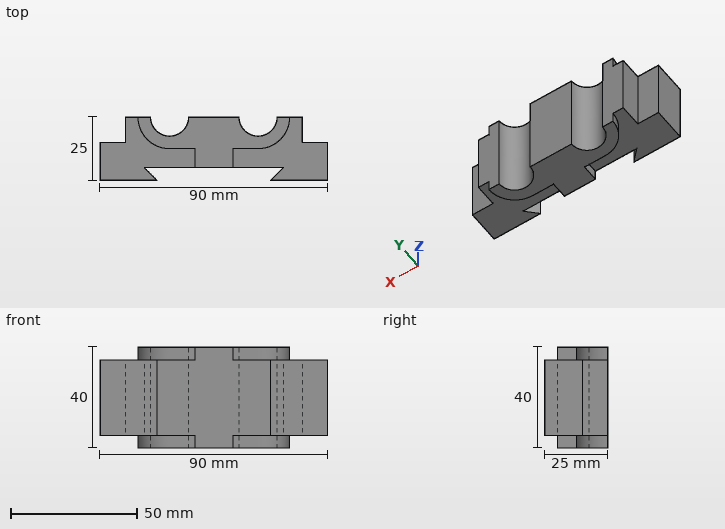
import cadquery as cq

total_length = 90.0
depth = 25.0
body_height = 30.0
total_height = 40.0

shoulder_length = 70.0
shoulder_depth = 10.0

groove_depth = 5.0
groove_mouth_width = 45.0
groove_floor_width = groove_mouth_width + 2 * groove_depth

seat_spacing = 35.0
seat_radius = 7.5
collar_wall = 5.0
collar_radius = seat_radius + collar_wall
stem_width = 15.0

front_y = -depth
groove_floor_y = front_y + groove_depth
half_spacing = seat_spacing / 2


def centred_extrusion(profile, height):
    """Extrude an X-Y profile along Z, centred on Z = 0."""
    return profile.extrude(height / 2, both=True)


def make_body():
    """Stepped block with the dovetail groove in its front face."""
    right_half = [
        (0, 0),
        (shoulder_length / 2, 0),
        (shoulder_length / 2, -shoulder_depth),
        (total_length / 2, -shoulder_depth),
        (total_length / 2, front_y),
        (groove_mouth_width / 2, front_y),
        (groove_floor_width / 2, groove_floor_y),
        (0, groove_floor_y),
    ]
    profile = cq.Workplane("XY").polyline(right_half).mirrorY()
    return centred_extrusion(profile, body_height)


def make_collar():
    """Raised rim around both seats, with a stem reaching the groove floor."""
    outer_x = half_spacing + collar_radius
    arc_middle = collar_radius * 0.5**0.5
    profile = (
        cq.Workplane("XY")
        .moveTo(0, 0)
        .lineTo(outer_x, 0)
        .threePointArc((half_spacing + arc_middle, -arc_middle), (half_spacing, -collar_radius))
        .lineTo(stem_width / 2, -collar_radius)
        .lineTo(stem_width / 2, groove_floor_y)
        .lineTo(0, groove_floor_y)
        .mirrorY()
    )
    return centred_extrusion(profile, total_height)


def make_seats():
    """Cylinders on the back face that cut the two tube seats."""
    profile = (
        cq.Workplane("XY")
        .pushPoints([(-half_spacing, 0), (half_spacing, 0)])
        .circle(seat_radius)
    )
    return centred_extrusion(profile, total_height)


result = make_body().union(make_collar()).cut(make_seats())